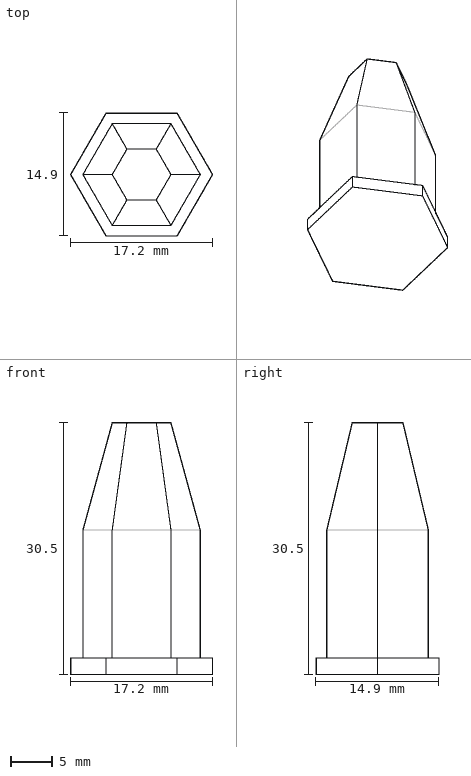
import cadquery as cq

TOTAL_HEIGHT = 30.48
FLANGE_HEIGHT = 2.0
TAPER_HEIGHT = 12.98
FLANGE_CORNERS = 17.2
BODY_CORNERS = 14.2
TIP_CORNERS = BODY_CORNERS / 2

SIDES = 6
shoulder_z = TOTAL_HEIGHT - TAPER_HEIGHT

flange = cq.Workplane("XY").polygon(SIDES, FLANGE_CORNERS).extrude(FLANGE_HEIGHT)

body = cq.Workplane("XY").polygon(SIDES, BODY_CORNERS).extrude(shoulder_z)

nose = (
    cq.Workplane("XY", origin=(0, 0, shoulder_z))
    .polygon(SIDES, BODY_CORNERS)
    .workplane(offset=TAPER_HEIGHT)
    .polygon(SIDES, TIP_CORNERS)
    .loft(ruled=True)
)

result = flange.union(body).union(nose)